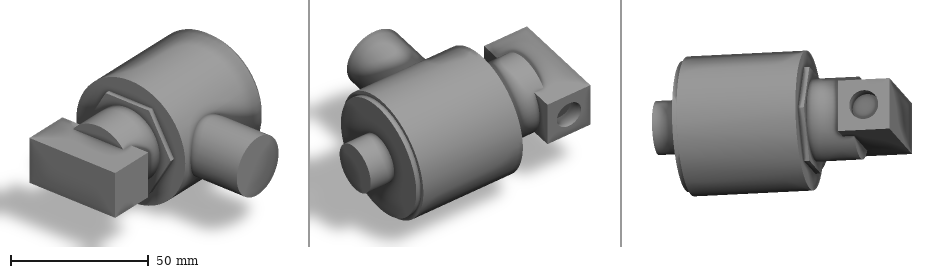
import cadquery as cq
import math


barrel_diameter = 50.8
barrel_length = 44.1
cap_diameter = 47.6
cap_thickness = 2.0
stub_diameter = 19.65
stub_length = 10.4
port_diameter = 24.1
port_reach = 46.95
port_setback = 15.1

hex_across_flats = 35.0
hex_thickness = 2.0
stem_diameter = 30.1
stem_gap = 12.7
stem_insertion = 4.15
block_width = 40.0
block_depth = 19.0
block_height = 18.8
socket_diameter = 10.7
socket_depth = 6.0


def cylinder_along_y(diameter, start, length):
    """Solid cylinder on the main axis, growing toward +Y from start."""
    plane = cq.Plane(origin=(0, start, 0), xDir=(1, 0, 0), normal=(0, 1, 0))
    return cq.Workplane(plane).circle(diameter / 2).extrude(length)


def cylinder_along_x(diameter, start, y_center, length):
    """Solid cylinder parallel to X, growing toward +X from start."""
    plane = cq.Plane(origin=(start, y_center, 0), xDir=(0, 1, 0), normal=(1, 0, 0))
    return cq.Workplane(plane).circle(diameter / 2).extrude(length)


def make_housing():
    """Barrel with a side port, a rear cap and a rear stub."""
    barrel = cylinder_along_y(barrel_diameter, 0, barrel_length)
    cap = cylinder_along_y(cap_diameter, barrel_length, cap_thickness)
    stub = cylinder_along_y(stub_diameter, barrel_length + cap_thickness, stub_length)
    port = cylinder_along_x(port_diameter, 0, port_setback, port_reach)
    return barrel.union(cap).union(stub).union(port)


def make_fitting():
    """Hexagon seated on the barrel front, with a stem carrying a cross block."""
    hex_corner_diameter = hex_across_flats / math.cos(math.pi / 6)
    hexagon = cq.Workplane("XZ").polygon(6, hex_corner_diameter).extrude(hex_thickness)

    block_rear = -(hex_thickness + stem_gap)
    stem_front = block_rear - stem_insertion
    stem = cylinder_along_y(stem_diameter, stem_front, -stem_front)

    block_center = block_rear - block_depth / 2
    block = (
        cq.Workplane("XY")
        .box(block_width, block_depth, block_height)
        .translate((0, block_center, 0))
    )
    socket = cylinder_along_x(socket_diameter, -block_width / 2, block_center, socket_depth)
    return hexagon.union(stem).union(block).cut(socket)


housing = make_housing()
fitting = make_fitting()
result = cq.Compound.makeCompound([housing.val(), fitting.val()])